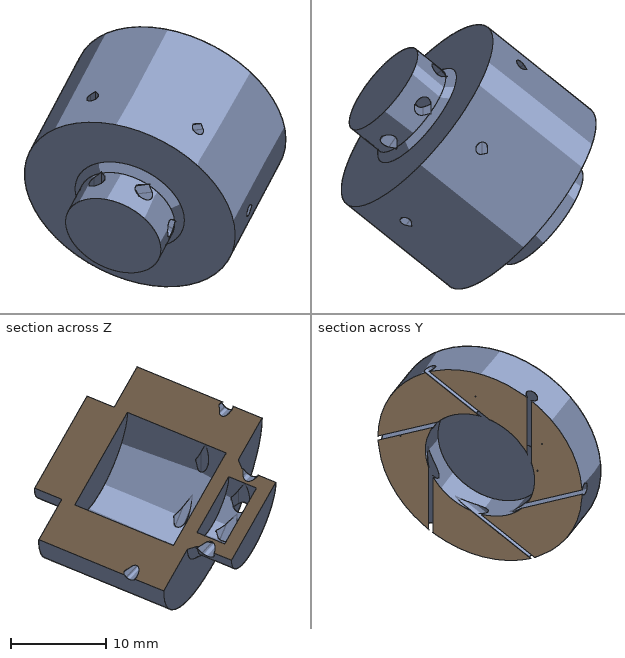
import cadquery as cq
import math

body_radius = 11.9
body_length = 14.62
front_boss_radius = 5.38
front_boss_length = 4.76
collar_length = 0.79
back_boss_radius = 6.35
back_boss_length = 3.17

body_front = front_boss_length
body_back = body_front + body_length
overall_length = body_back + back_boss_length

ports_per_ring = 6
boss_port_radius = 0.85
boss_port_offset = 2.95
boss_port_y = 2.88
body_port_radius = 0.6
body_port_offset = 5.75
body_port_y = body_front + 3.95

boss_chamber_radius = boss_port_offset + boss_port_radius
body_chamber_radius = body_port_offset + body_port_radius
wall = front_boss_radius - boss_chamber_radius
boss_chamber_length = body_front - wall
body_chamber_length = body_length - 2 * wall


def turned_blank():
    """Solid outside shape: front boss, collar, body and back boss."""
    profile = [
        (0, 0),
        (front_boss_radius, 0),
        (front_boss_radius, body_front - collar_length),
        (front_boss_radius + collar_length, body_front),
        (body_radius, body_front),
        (body_radius, body_back),
        (back_boss_radius, body_back),
        (back_boss_radius, overall_length),
        (0, overall_length),
    ]
    return cq.Workplane("XY").polyline(profile).close().revolve(360, (0, 0, 0), (0, 1, 0))


def chamber(radius, start_y, length):
    """Cylinder on the part axis, from start_y towards +Y."""
    return cq.Workplane("XZ", origin=(0, start_y, 0)).circle(radius).extrude(-length)


def teardrop_port(radius, offset, y, length):
    """Port running towards +Z from beside the part axis, with its point towards +Y."""
    shoulder = radius * math.sqrt(0.5)
    point = radius * math.sqrt(2)
    return (
        cq.Workplane("XY", origin=(-offset, y, 0))
        .moveTo(shoulder, shoulder)
        .lineTo(0, point)
        .lineTo(-shoulder, shoulder)
        .threePointArc((0, -radius), (shoulder, shoulder))
        .close()
        .extrude(length)
    )


def cut_port_ring(part, port):
    """Cut copies of the port, equally spaced around the part axis."""
    for index in range(ports_per_ring):
        angle = index * 360 / ports_per_ring
        part = part.cut(port.rotate((0, 0, 0), (0, 1, 0), angle))
    return part


result = turned_blank()

result = result.cut(chamber(boss_chamber_radius, wall, boss_chamber_length))
result = result.cut(chamber(body_chamber_radius, body_front + wall, body_chamber_length))

boss_port = teardrop_port(boss_port_radius, boss_port_offset, boss_port_y, front_boss_radius)
body_port = teardrop_port(body_port_radius, body_port_offset, body_port_y, body_radius)
result = cut_port_ring(result, boss_port)
result = cut_port_ring(result, body_port)